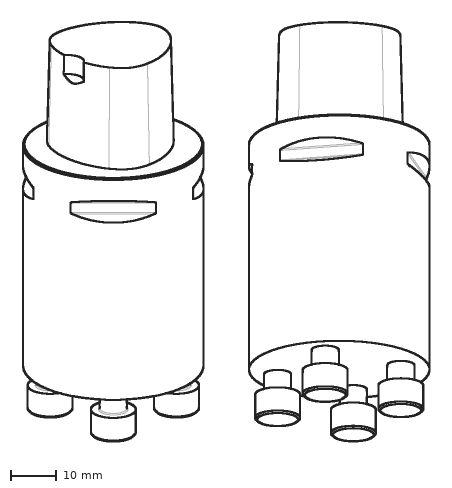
import cadquery as cq
import math

total_height = 87.5
shank_height = 24.0
body_height = 52.95

body_diameter = 40.0
body_edge_chamfer = 0.35

lobe_reach = 15.0
flat_reach = 13.1
shank_taper = 1 / 20
lobe_count = 3

pocket_diameter = 7.35
pocket_depth = 4.55
pocket_floor_y = -10.7
pocket_tip_angle = 118.0

groove_count = 4
groove_below_shoulder = 8.0
groove_floor_height = 2.6
groove_mouth_height = 5.25
groove_depth = 2.4
groove_floor_fillet = 0.35

screw_offset = 9.9
screw_neck_diameter = 6.0
screw_head_diameter = 10.0
screw_head_height = 5.9
screw_neck_fillet = 0.3
screw_head_chamfer = 0.4

body_radius = body_diameter / 2
screw_length = total_height - shank_height - body_height
shoulder_z = screw_length + body_height


def make_body():
    """Plain cylinder with a chamfered shoulder edge."""
    cylinder = cq.Workplane("XY", origin=(0, 0, screw_length)).circle(body_radius).extrude(body_height)
    return cylinder.faces(">Z").edges().chamfer(body_edge_chamfer)


def lobed_wire(z, mean_radius, eccentricity):
    """Closed three-lobed outline with one lobe towards +Y, made of alternating lobe and flat curves."""

    def point(normal_angle):
        reach = mean_radius - eccentricity * math.sin(lobe_count * normal_angle)
        slope = -lobe_count * eccentricity * math.cos(lobe_count * normal_angle)
        return cq.Vector(
            reach * math.cos(normal_angle) - slope * math.sin(normal_angle),
            reach * math.sin(normal_angle) + slope * math.cos(normal_angle),
            z,
        )

    def tangent(normal_angle):
        return cq.Vector(-math.sin(normal_angle), math.cos(normal_angle), 0)

    curve_count = 2 * lobe_count
    curve_span = 2 * math.pi / curve_count
    steps_per_curve = 6
    curves = []
    for index in range(curve_count):
        start = index * curve_span
        angles = [start + curve_span * step / steps_per_curve for step in range(steps_per_curve + 1)]
        ends = [tangent(angles[0]), tangent(angles[-1])]
        curves.append(cq.Edge.makeSpline([point(angle) for angle in angles], tangents=ends))
    return cq.Wire.assembleEdges(curves)


def make_shank():
    """Tapered three-lobed shank rising from the shoulder."""
    mean_radius = (lobe_reach + flat_reach) / 2
    eccentricity = (lobe_reach - flat_reach) / 2
    top_radius = mean_radius - shank_height * shank_taper / 2
    base = lobed_wire(shoulder_z, mean_radius, eccentricity)
    top = lobed_wire(total_height, top_radius, eccentricity)
    return cq.Workplane(obj=cq.Solid.makeLoft([base, top], True))


def make_pocket():
    """Cone-ended drill shape, its axis just outside the -Y side of the shank."""
    radius = pocket_diameter / 2
    tip_height = radius / math.tan(math.radians(pocket_tip_angle / 2))
    rim_z = total_height - pocket_depth
    profile = cq.Workplane("XZ", origin=(0, pocket_floor_y - radius, 0)).polyline([
        (0, rim_z - tip_height),
        (radius, rim_z),
        (radius, total_height),
        (0, total_height),
    ])
    return profile.close().revolve(360, (0, 0, 0), (0, 1, 0))


def make_groove(direction):
    """Straight trapezoidal groove across the body side that faces the given angle."""
    floor_x = body_radius - groove_depth
    flank_slope = (groove_mouth_height - groove_floor_height) / 2 / groove_depth
    outer_x = body_radius + groove_depth
    floor_half = groove_floor_height / 2
    outer_half = floor_half + flank_slope * (outer_x - floor_x)
    profile = cq.Workplane("XZ", origin=(0, 0, shoulder_z - groove_below_shoulder)).polyline([
        (floor_x, -floor_half),
        (outer_x, -outer_half),
        (outer_x, outer_half),
        (floor_x, floor_half),
    ])
    cutter = profile.close().extrude(body_radius, both=True)
    cutter = cutter.faces("<X").edges("|Y").fillet(groove_floor_fillet)
    return cutter.rotate((0, 0, 0), (0, 0, 1), direction)


def make_screws():
    """Four screws standing out of the body's underside, heads down."""
    square = cq.Workplane("XY").rect(2 * screw_offset, 2 * screw_offset, forConstruction=True).vertices()
    heads = square.circle(screw_head_diameter / 2).extrude(screw_head_height)
    heads = heads.faces("<Z").edges().chamfer(screw_head_chamfer)
    necks = square.circle(screw_neck_diameter / 2).extrude(screw_length)
    under_head = cq.selectors.BoxSelector(
        (-body_radius, -body_radius, screw_head_height - screw_neck_fillet),
        (body_radius, body_radius, screw_head_height + screw_neck_fillet),
    )
    neck_roots = cq.selectors.RadiusNthSelector(0)
    return heads.union(necks).edges(under_head).edges(neck_roots).fillet(screw_neck_fillet)


result = make_body().union(make_shank()).cut(make_pocket())
for groove_index in range(groove_count):
    groove_direction = (groove_index + 0.5) * 360 / groove_count
    result = result.cut(make_groove(groove_direction))
result = result.union(make_screws())